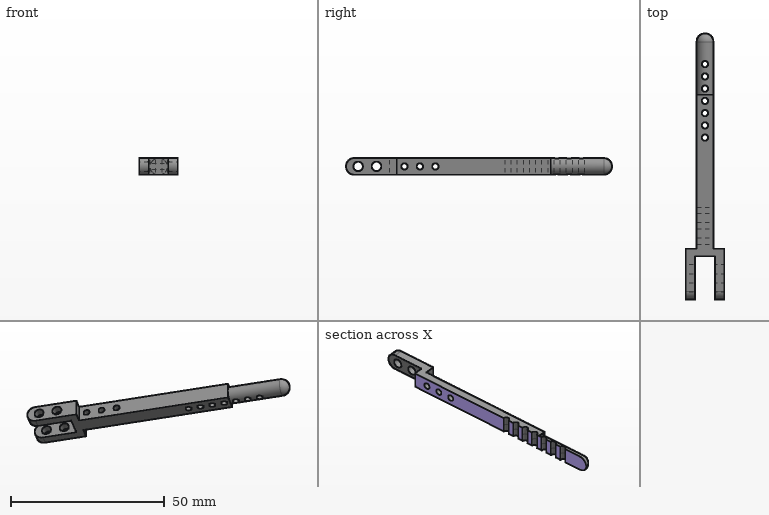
import cadquery as cq

length = 86.5
thickness = 5.5
end_radius = thickness / 2

fork_width = 12.5
fork_length = 16.5
slot_width = 6.5
slot_depth = 14.0
pin_hole_diameter = 3.0
pin_hole_pitch = 6.0
first_pin_hole = 4.0

rod_length = 20.0
small_hole_diameter = 2.0
shank_hole_count = 3
shank_hole_pitch = 5.0
first_shank_hole = 19.0
rod_hole_count = 7
rod_hole_pitch = 4.0
first_rod_hole = 10.0

fork_end = -length / 2
tip_end = length / 2
shank_end = tip_end - rod_length


def bar(width, start, end):
    """Rectangular bar of full thickness running along Y."""
    return cq.Workplane("XY").box(width, end - start, thickness).translate((0, (start + end) / 2, 0))


def cross_hole(diameter, y):
    """Cutter along X through the whole width."""
    return cq.Workplane("YZ").center(y, 0).circle(diameter / 2).extrude(fork_width, both=True)


def vertical_hole(diameter, y):
    """Cutter along Z through the whole thickness."""
    return cq.Workplane("XY").center(0, y).circle(diameter / 2).extrude(thickness, both=True)


fork = bar(fork_width, fork_end, fork_end + fork_length)
arm_ends = cq.Workplane("YZ").center(fork_end + end_radius, 0).circle(end_radius)
arm_ends = arm_ends.extrude(fork_width / 2, both=True)
fork = fork.cut(bar(fork_width, fork_end, fork_end + end_radius)).union(arm_ends)
fork = fork.cut(bar(slot_width, fork_end, fork_end + slot_depth))

shank = bar(thickness, fork_end + slot_depth, shank_end)

dome_start = tip_end - end_radius
rod = (
    cq.Workplane("XY")
    .moveTo(0, shank_end)
    .lineTo(end_radius, shank_end)
    .lineTo(end_radius, dome_start)
    .radiusArc((0, tip_end), -end_radius)
    .close()
    .revolve(360, (0, 0, 0), (0, 1, 0))
)

result = fork.union(shank).union(rod)

for y in (fork_end + first_pin_hole, fork_end + first_pin_hole + pin_hole_pitch):
    result = result.cut(cross_hole(pin_hole_diameter, y))

for i in range(shank_hole_count):
    y = fork_end + first_shank_hole + i * shank_hole_pitch
    result = result.cut(cross_hole(small_hole_diameter, y))

for i in range(rod_hole_count):
    y = tip_end - first_rod_hole - i * rod_hole_pitch
    result = result.cut(vertical_hole(small_hole_diameter, y))